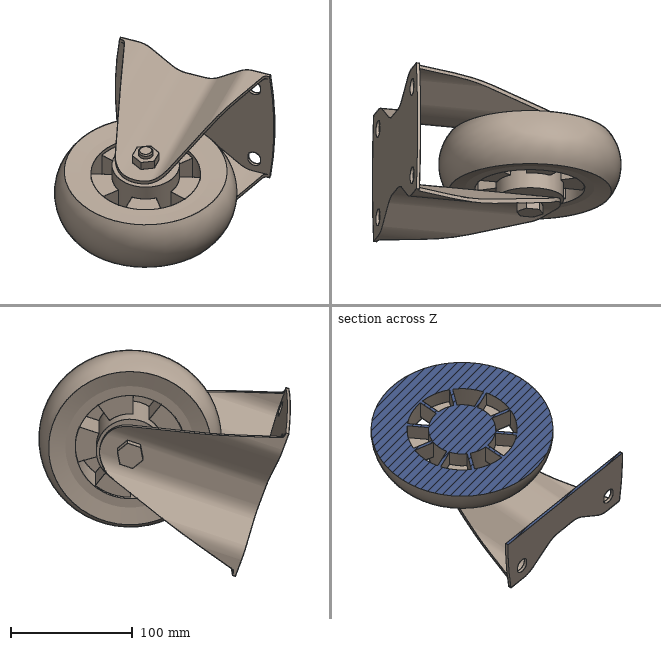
import cadquery as cq
import math


wheel_diameter = 149.9
tread_edge_radius = 66.9
tread_half_width = 23.2
rim_outer_radius = 53.0
rim_half_width = 20.5
web_outer_radius = 90.0 / 2
web_half_width = 17.1
web_wall = 3.0
hub_radius = 55.5 / 2
hub_half_width = 30.0
pockets_per_side = 5

overall_length = 190.0
plate_back = overall_length - wheel_diameter / 2
plate_thickness = 2.7
plate_half_height = 110.0 / 2
plate_half_width = 69.7
plate_corner_half_width = 66.0
slot_x = 52.5
slot_z = 38.5
slot_width = 11.0
slot_length = 13.9

sheet = 3.0
arm_inner_z = 31.2
arm_outer_z = arm_inner_z + sheet
arm_tip_radius = 25.0
arm_taper = math.radians(17.4)
arm_root_fillet = 3.6
centre_flat_half_width = 8.4
bend_angle = math.radians(35)
slope_run = 19.2

axle_diameter = 12.0
axle_top = 46.0
axle_chamfer_width = 1.0
axle_chamfer_height = 1.3
spacer_diameter = 20.0
nut_across_flats = 19.4
nut_height = 7.6

arm_rise = plate_half_height - arm_outer_z
bend_radius = (arm_rise - slope_run * math.tan(bend_angle)) / (2 * (1 - math.cos(bend_angle)))
bend_run = bend_radius * math.sin(bend_angle)
upper_bend_x = centre_flat_half_width + slope_run + 2 * bend_run


def z_cylinder(radius, z_bottom, z_top):
    return cq.Workplane("XY").workplane(offset=z_bottom).circle(radius).extrude(z_top - z_bottom)


def make_tyre():
    """Revolved tyre with dished sides and a plain bore at the web."""
    return (
        cq.Workplane("XZ")
        .moveTo(web_outer_radius, -rim_half_width)
        .lineTo(rim_outer_radius, -rim_half_width)
        .lineTo(tread_edge_radius, -tread_half_width)
        .threePointArc((wheel_diameter / 2, 0), (tread_edge_radius, tread_half_width))
        .lineTo(rim_outer_radius, rim_half_width)
        .lineTo(web_outer_radius, rim_half_width)
        .close()
        .revolve(360, (0, 0), (0, 1))
    )


def make_web_ring(z_bottom, z_top):
    """Annulus filling the space between the hub and the tyre."""
    ring = z_cylinder(web_outer_radius, z_bottom, z_top)
    return ring.cut(z_cylinder(hub_radius, z_bottom, z_top))


def make_pockets():
    """Wedge pockets open at the upper web face; walls between neighbouring sectors have parallel sides."""
    half_sector = math.pi / (2 * pockets_per_side)
    apex = web_wall / 2 / math.sin(half_sector)
    far_x = 2 * web_outer_radius
    far_y = (far_x - apex) * math.tan(half_sector)
    floor_z = web_wall - web_half_width
    wedge = (
        cq.Workplane("XY")
        .workplane(offset=floor_z)
        .polyline([(apex, 0), (far_x, far_y), (far_x, -far_y)])
        .close()
        .extrude(web_half_width - floor_z)
    )
    pocket = wedge.intersect(make_web_ring(floor_z, web_half_width))
    pitch = 360 / pockets_per_side
    pockets = cq.Workplane("XY")
    for index in range(pockets_per_side):
        pockets = pockets.add(pocket.rotate((0, 0, 0), (0, 0, 1), pitch * (index + 0.5)))
    return pockets.combine()


def make_wheel():
    """Pockets of the lower side sit under the sectors left between the upper ones."""
    upper_pockets = make_pockets()
    lower_pockets = upper_pockets.rotate((0, 0, 0), (0, 1, 0), 180)
    web = make_web_ring(-web_half_width, web_half_width).cut(upper_pockets).cut(lower_pockets)
    hub = z_cylinder(hub_radius, -hub_half_width, hub_half_width)
    return make_tyre().union(web).union(hub)


def lower_bend_point(depth, angle):
    """Point on the bend beside the centre flat, at a depth below the sheet's outer face."""
    radius = bend_radius + depth
    return (
        centre_flat_half_width + radius * math.sin(angle),
        arm_outer_z + bend_radius - radius * math.cos(angle),
    )


def upper_bend_point(depth, angle):
    """Point on the bend beside the edge flat, at a depth below the sheet's outer face."""
    radius = bend_radius - depth
    return (
        upper_bend_x - radius * math.sin(angle),
        plate_half_height - bend_radius + radius * math.cos(angle),
    )


def make_block_below(depth):
    """Block from the mid plane up to the pressed section, lowered by a depth below the sheet's outer face."""
    half_bend = bend_angle / 2
    half = (
        cq.Workplane("XZ", origin=(0, plate_back, 0))
        .lineTo(0, arm_outer_z - depth)
        .lineTo(*lower_bend_point(depth, 0))
        .threePointArc(lower_bend_point(depth, half_bend), lower_bend_point(depth, bend_angle))
        .lineTo(*upper_bend_point(depth, bend_angle))
        .threePointArc(upper_bend_point(depth, half_bend), upper_bend_point(depth, 0))
        .lineTo(plate_half_width, plate_half_height - depth)
        .lineTo(plate_half_width, 0)
        .close()
        .extrude(plate_back + arm_tip_radius)
    )
    return half.union(half.mirror("YZ"))


def make_plate():
    """Slotted plate with bowed sides; its upper and lower edges follow the arms' section."""
    w, h = plate_corner_half_width, plate_half_height
    blank = (
        cq.Workplane("XZ", origin=(0, plate_back, 0))
        .moveTo(-w, -h)
        .lineTo(w, -h)
        .threePointArc((plate_half_width, 0), (w, h))
        .lineTo(-w, h)
        .threePointArc((-plate_half_width, 0), (-w, -h))
        .close()
        .extrude(plate_thickness)
    )
    slots = (
        cq.Workplane("XZ", origin=(0, plate_back, 0))
        .rect(2 * slot_x, 2 * slot_z, forConstruction=True)
        .vertices()
        .slot2D(slot_length, slot_width, 90)
        .extrude(plate_thickness)
    )
    upper_block = make_block_below(0)
    envelope = upper_block.union(upper_block.mirror("XY"))
    return blank.cut(slots).intersect(envelope)


def make_arm_outline():
    """Tapered arm ending in a round tip about the axle, with filleted corners at the plate."""
    tangent_x = arm_tip_radius * math.cos(arm_taper)
    tangent_y = -arm_tip_radius * math.sin(arm_taper)
    plate_front = plate_back - plate_thickness
    root_x = tangent_x + (plate_front - tangent_y) * math.tan(arm_taper)
    foot_x = plate_corner_half_width
    blank = (
        cq.Workplane("XY")
        .moveTo(-foot_x, plate_back)
        .lineTo(-foot_x, plate_front)
        .lineTo(-root_x, plate_front)
        .lineTo(-tangent_x, tangent_y)
        .threePointArc((0, -arm_tip_radius), (tangent_x, tangent_y))
        .lineTo(root_x, plate_front)
        .lineTo(foot_x, plate_front)
        .lineTo(foot_x, plate_back)
        .close()
        .extrude(plate_half_height)
    )
    root_edges = cq.selectors.BoxSelector(
        (-foot_x + sheet, plate_front - sheet, 0),
        (foot_x - sheet, plate_front + sheet / 2, plate_half_height),
    )
    return blank.edges("|Z").edges(root_edges).fillet(arm_root_fillet)


def make_axle():
    """Threaded rod end, two nuts and the spacer that carries the wheel between the arms."""
    nut_circle = nut_across_flats / math.cos(math.pi / 6)
    nut_blank = cq.Workplane("XY").polygon(6, nut_circle).extrude(nut_height)
    nut = nut_blank.rotate((0, 0, 0), (0, 0, 1), 30)
    rod = z_cylinder(axle_diameter / 2, 0, axle_top)
    rod = rod.faces(">Z").chamfer(axle_chamfer_height, axle_chamfer_width)
    return (
        z_cylinder(spacer_diameter / 2, -arm_inner_z, arm_inner_z)
        .union(rod)
        .union(z_cylinder(axle_diameter / 2, -arm_outer_z - nut_height, 0))
        .union(nut.translate((0, 0, arm_outer_z)))
        .union(nut.translate((0, 0, -arm_outer_z - nut_height)))
    )


pressed_sheet = make_block_below(0).cut(make_block_below(sheet))
upper_arm = pressed_sheet.intersect(make_arm_outline())
lower_arm = upper_arm.mirror("XY")

result = make_plate().union(upper_arm).union(lower_arm).union(make_axle()).union(make_wheel())